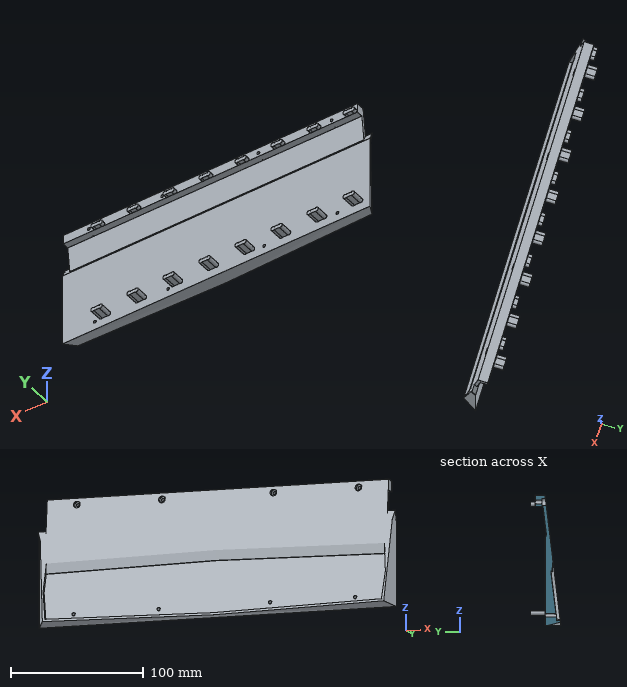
import cadquery as cq
import math

LENGTH = 285.3
HEIGHT = 98.7
FRONT_REACH = 12.0
HALF = LENGTH / 2

UPPER_HALF = 136.5
FLANGE_HEIGHT = 8.5
FLANGE_BACK = 7.7
PANEL_THICKNESS = 2.9

BODY_BACK_HEIGHT = 66.8
WING_TOP = 74.0
SIDE_INSET = 6.5
FOOT_RISE = 2.9

POCKET_DEPTH = 2.5
POCKET_TOP_MIDDLE = 50.8
POCKET_TOP_END = 48.2
POCKET_BOTTOM_MIDDLE = 1.7
POCKET_BOTTOM_END = 4.5
POCKET_TOP_CORNER_X = 135.0
POCKET_BOTTOM_CORNER_X = 134.5
POCKET_BULGE_X = 136.6
POCKET_BULGE_Z = 26.2
RAMP_DEPTH = 1.7
RAMP_DROP = 7.5

HOLE_X = (-112.5, -44.5, 44.5, 112.5)
UPPER_HOLE_Z = 93.5
LOWER_HOLE_Z = 7.7
HOLE_DIAMETER = 2.4
COUNTERBORE_DIAMETER = 5.0
COUNTERBORE_DEPTH = 2.9

PEG_COUNT = 8
PEG_FIRST_X = -130.7
PEG_PITCH = 33.5
PEG_LENGTH = 10.5
PEG_KNOB_DIAMETER = 3.7
PEG_BAR_HEIGHT = 3.0
PEG_BACK = 11.0
UPPER_PEG_Z = 91.9
LOWER_PEG_Z = 9.5


def end_x(y):
    """X of the slanted left end of the lower body at depth y."""
    return -HALF - SIDE_INSET * y / FRONT_REACH


def front_y(z):
    """Y of the sloping front face at height z."""
    return -FRONT_REACH * (HEIGHT - z) / HEIGHT


def bar(profile, half_length):
    """Extrude a (y, z) profile symmetrically along X."""
    return cq.Workplane("YZ").polyline(profile).close().extrude(half_length, both=True)


def tetrahedron(a, b, c, d):
    """Solid with the four given corners."""
    triangles = ((a, b, c), (a, b, d), (a, c, d), (b, c, d))
    faces = []
    for triangle in triangles:
        outline = cq.Wire.makePolygon([cq.Vector(*corner) for corner in triangle], close=True)
        faces.append(cq.Face.makeFromWires(outline))
    return cq.Workplane(cq.Solid.makeSolid(cq.Shell.makeShell(faces)))


def cut_both_ends(body, cutter):
    """Cut the left end and, mirrored, the right end."""
    return body.cut(cutter).cut(cutter.mirror("YZ"))


def upper_panel():
    """Thin leaning panel with the thick flange along its top."""
    flange_bottom = HEIGHT - FLANGE_HEIGHT
    return bar(
        [
            (0, HEIGHT),
            (FLANGE_BACK, HEIGHT),
            (FLANGE_BACK, flange_bottom),
            (front_y(flange_bottom) + PANEL_THICKNESS, flange_bottom),
            (front_y(BODY_BACK_HEIGHT) + PANEL_THICKNESS, BODY_BACK_HEIGHT),
            (front_y(BODY_BACK_HEIGHT), BODY_BACK_HEIGHT),
        ],
        UPPER_HALF,
    )


def lower_body():
    """Wedge that thickens towards the foot, with slanted ends and a bevelled underside."""
    body = bar([(0, 0), (front_y(0), 0), (front_y(WING_TOP), WING_TOP), (0, BODY_BACK_HEIGHT)], HALF)

    end_cutter = (
        cq.Workplane("XY")
        .polyline([(-HALF, 0), (-HALF, -FRONT_REACH), (end_x(-FRONT_REACH), -FRONT_REACH)])
        .close()
        .extrude(BODY_BACK_HEIGHT)
    )
    body = cut_both_ends(body, end_cutter)

    facet_y = front_y(BODY_BACK_HEIGHT)
    facet_cutter = tetrahedron(
        (-HALF, front_y(WING_TOP), WING_TOP),
        (-HALF, 0, BODY_BACK_HEIGHT),
        (end_x(facet_y), facet_y, BODY_BACK_HEIGHT),
        (-HALF, facet_y, BODY_BACK_HEIGHT),
    )
    body = cut_both_ends(body, facet_cutter)

    foot_y = front_y(FOOT_RISE)
    foot_cutter = tetrahedron(
        (-HALF, 0, 0),
        (0, front_y(0), 0),
        (end_x(foot_y), foot_y, FOOT_RISE),
        (-HALF, front_y(0), 0),
    )
    return cut_both_ends(body, foot_cutter)


def pocket_wire(top_drop, depth):
    """Pocket outline at a given depth behind the front face, its top edge lowered by top_drop."""
    top_end = POCKET_TOP_END - top_drop
    side_slope = (POCKET_BULGE_X - POCKET_TOP_CORNER_X) / (POCKET_TOP_END - POCKET_BULGE_Z)
    top_corner_x = POCKET_TOP_CORNER_X + side_slope * top_drop
    outline = [
        (0, POCKET_TOP_MIDDLE - top_drop),
        (top_corner_x, top_end),
        (POCKET_BULGE_X, POCKET_BULGE_Z),
        (POCKET_BOTTOM_CORNER_X, POCKET_BOTTOM_END),
        (0, POCKET_BOTTOM_MIDDLE),
        (-POCKET_BOTTOM_CORNER_X, POCKET_BOTTOM_END),
        (-POCKET_BULGE_X, POCKET_BULGE_Z),
        (-top_corner_x, top_end),
    ]
    lean = math.atan(FRONT_REACH / HEIGHT)
    step_back = depth * math.cos(lean)
    step_down = depth * math.sin(lean)
    points = [cq.Vector(x, front_y(z) + step_back, z - step_down) for x, z in outline]
    return cq.Wire.makePolygon(points, close=True)


def cut_pocket(body):
    """Cut the straight-walled recess, then the shallower ramp that leads into it from above."""
    mouth = pocket_wire(0, 0)
    ramp_foot = pocket_wire(RAMP_DROP, RAMP_DEPTH)
    recess_mouth = pocket_wire(RAMP_DROP, 0)
    recess_floor = pocket_wire(RAMP_DROP, POCKET_DEPTH)
    recess = cq.Solid.makeLoft([recess_mouth, recess_floor], True)
    ramp = cq.Solid.makeLoft([mouth, ramp_foot], True)
    return body.cut(cq.Workplane(recess)).cut(cq.Workplane(ramp))


def peg_row(z, start_y):
    """Row of pegs, each a bar with a round knob at both ends, from start_y to the rearmost plane."""
    peg_centres = [PEG_FIRST_X + i * PEG_PITCH for i in range(PEG_COUNT)]
    knob_offset = (PEG_LENGTH - PEG_KNOB_DIAMETER) / 2
    knob_centres = [(x + side * knob_offset, z) for x in peg_centres for side in (-1, 1)]
    rear_plane = cq.Workplane("XZ", origin=(0, PEG_BACK, 0))
    length = PEG_BACK - start_y
    bar_centres = [(x, z) for x in peg_centres]
    bars = rear_plane.pushPoints(bar_centres).rect(2 * knob_offset, PEG_BAR_HEIGHT).extrude(length)
    knobs = rear_plane.pushPoints(knob_centres).circle(PEG_KNOB_DIAMETER / 2).extrude(length)
    return bars.union(knobs)


def hole_row(z, diameter, start_y, end_y):
    """Row of round cutters along Y."""
    return (
        cq.Workplane("XZ", origin=(0, end_y, 0))
        .pushPoints([(x, z) for x in HOLE_X])
        .circle(diameter / 2)
        .extrude(end_y - start_y)
    )


result = cut_pocket(upper_panel().union(lower_body()))
result = result.union(peg_row(UPPER_PEG_Z, FLANGE_BACK)).union(peg_row(LOWER_PEG_Z, 0))
for hole_z in (UPPER_HOLE_Z, LOWER_HOLE_Z):
    result = result.cut(hole_row(hole_z, HOLE_DIAMETER, -FRONT_REACH, PEG_BACK))
counterbore_floor = front_y(UPPER_HOLE_Z) + COUNTERBORE_DEPTH
result = result.cut(hole_row(UPPER_HOLE_Z, COUNTERBORE_DIAMETER, -FRONT_REACH, counterbore_floor))